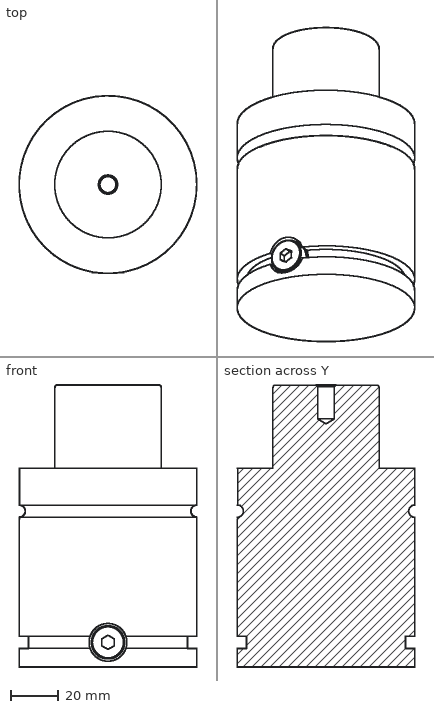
import cadquery as cq

total_height = 119.0
body_diameter = 75.0
body_radius = body_diameter / 2
body_height = 83.9

base_groove_bottom = 8.0
base_groove_top = 13.0
base_groove_radius = 33.5

round_groove_radius = 2.5
round_groove_center = 65.8

rod_diameter = 45.0
rod_edge_radius = 1.1

rod_hole_diameter = 6.8
rod_hole_mouth_diameter = 8.1
rod_hole_depth = 14.3
drill_tip_height = 2.0

plug_center_height = (base_groove_bottom + base_groove_top) / 2
plug_seat_diameter = 16.0
plug_seat_distance = 32.1
plug_diameter = 14.0
plug_face_distance = 37.1
plug_chamfer = 0.5
socket_across_corners = 6.0
socket_depth = 3.6


def make_body():
    """Revolve the body and rod with both grooves about Z."""
    groove_low = round_groove_center - round_groove_radius
    groove_high = round_groove_center + round_groove_radius
    profile = (
        cq.Workplane("XZ")
        .lineTo(body_radius, 0)
        .lineTo(body_radius, base_groove_bottom)
        .lineTo(base_groove_radius, base_groove_bottom)
        .lineTo(base_groove_radius, base_groove_top)
        .lineTo(body_radius, base_groove_top)
        .lineTo(body_radius, groove_low)
        .threePointArc(
            (body_radius - round_groove_radius, round_groove_center),
            (body_radius, groove_high),
        )
        .lineTo(body_radius, body_height)
        .lineTo(rod_diameter / 2, body_height)
        .lineTo(rod_diameter / 2, total_height - rod_edge_radius)
        .radiusArc((rod_diameter / 2 - rod_edge_radius, total_height), -rod_edge_radius)
        .lineTo(0, total_height)
        .close()
    )
    return profile.revolve(360, (0, 0, 0), (0, 1, 0))


def make_rod_hole():
    """Revolve the countersunk blind hole with its conical drill tip."""
    hole_radius = rod_hole_diameter / 2
    mouth_radius = rod_hole_mouth_diameter / 2
    hole_bottom = total_height - rod_hole_depth
    profile = (
        cq.Workplane("XZ")
        .moveTo(0, total_height)
        .lineTo(mouth_radius, total_height)
        .lineTo(hole_radius, total_height - (mouth_radius - hole_radius))
        .lineTo(hole_radius, hole_bottom)
        .lineTo(0, hole_bottom - drill_tip_height)
        .close()
    )
    return profile.revolve(360, (0, 0, 0), (0, 1, 0))


def side_plane(distance):
    """Plane facing -Y at the given distance from the axis, centred on the plug."""
    return cq.Workplane("XZ", origin=(0, -distance, plug_center_height))


def add_plug(body):
    """Bore a flat-bottomed seat and stand the socket plug in it."""
    recess = side_plane(plug_seat_distance).circle(plug_seat_diameter / 2).extrude(body_radius)
    plug = (
        side_plane(plug_seat_distance)
        .circle(plug_diameter / 2)
        .extrude(plug_face_distance - plug_seat_distance)
        .faces("<Y")
        .chamfer(plug_chamfer)
    )
    socket = (
        side_plane(plug_face_distance - socket_depth)
        .polygon(6, socket_across_corners)
        .extrude(socket_depth)
        .rotate((0, 0, plug_center_height), (0, 1, plug_center_height), 90)
    )
    return body.cut(recess).union(plug).cut(socket)


result = add_plug(make_body().cut(make_rod_hole()))